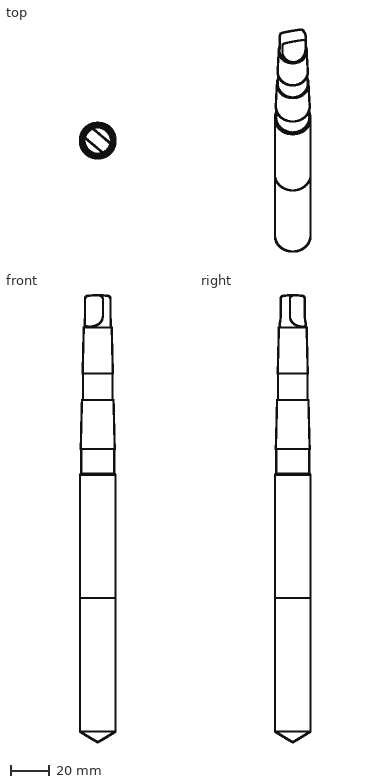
import cadquery as cq
import math

total_length = 233.0
body_diameter = 18.6
cutting_length = 75.3
tip_height = 5.5

taper_small_diameter = 14.7
taper_ratio = 0.05
tang_depth = 17.0
relief_top_depth = 41.0
relief_bottom_depth = 54.8
taper_end_depth = 80.2
neck_end_depth = 94.0
neck_bevel_length = 1.0
relief_diameter = 15.5
neck_diameter = 17.2

tang_diameter = 13.7
tang_thickness = 6.3
tang_crown_height = 0.5
tang_runout_radius = 6.0
tang_round_radius = 1.9
tang_normal_angle = 50.0

joint_z = cutting_length


def taper_radius(depth):
    """Radius of the taper at a depth below the tang end."""
    return (taper_small_diameter + taper_ratio * (depth - tang_depth)) / 2


def make_cutting_part():
    """Cylinder with a conical tip on the origin."""
    radius = body_diameter / 2
    return (
        cq.Workplane("XZ")
        .moveTo(0, 0)
        .lineTo(radius, tip_height)
        .lineTo(radius, joint_z)
        .lineTo(0, joint_z)
        .close()
        .revolve(360, (0, 0, 0), (0, 1, 0))
    )


def make_turned_shank():
    """Revolved shank: body, beveled neck, taper with a relief, and a round tang."""
    rim_depth = tang_crown_height + tang_round_radius
    crown_radius = tang_diameter / 2 - tang_round_radius
    diagonal = tang_round_radius * math.sqrt(0.5)
    steps = [
        (body_diameter / 2, neck_end_depth),
        (neck_diameter / 2, neck_end_depth - neck_bevel_length),
        (neck_diameter / 2, taper_end_depth + neck_bevel_length),
        (taper_radius(taper_end_depth), taper_end_depth),
        (taper_radius(relief_bottom_depth), relief_bottom_depth),
        (relief_diameter / 2, relief_bottom_depth),
        (relief_diameter / 2, relief_top_depth),
        (taper_radius(relief_top_depth), relief_top_depth),
        (taper_radius(tang_depth), tang_depth),
        (tang_diameter / 2, tang_depth),
        (tang_diameter / 2, rim_depth),
    ]
    profile = cq.Workplane("XZ").moveTo(0, joint_z).lineTo(body_diameter / 2, joint_z)
    for radius, depth in steps:
        profile = profile.lineTo(radius, total_length - depth)
    return (
        profile.threePointArc(
            (crown_radius + diagonal, total_length - rim_depth + diagonal),
            (crown_radius, total_length - tang_crown_height),
        )
        .lineTo(0, total_length)
        .close()
        .revolve(360, (0, 0, 0), (0, 1, 0))
    )


def make_flat_cutter():
    """Material beside one tang flat, with a quarter-round run-out at its lower end."""
    flat = tang_thickness / 2
    runout_bottom = total_length - tang_depth
    runout_top = runout_bottom + tang_runout_radius
    runout_edge = flat + tang_runout_radius
    diagonal = tang_runout_radius * math.sqrt(0.5)
    return (
        cq.Workplane("XZ")
        .moveTo(flat, total_length)
        .lineTo(flat, runout_top)
        .threePointArc((runout_edge - diagonal, runout_top - diagonal), (runout_edge, runout_bottom))
        .lineTo(runout_edge, total_length)
        .close()
        .extrude(body_diameter / 2, both=True)
    )


def make_shank():
    shank = make_turned_shank()
    cutter = make_flat_cutter()
    for side_angle in (0, 180):
        shank = shank.cut(cutter.rotate((0, 0, 0), (0, 0, 1), tang_normal_angle + side_angle))
    return shank


cutting_part = make_cutting_part()
shank = make_shank()
result = cq.Compound.makeCompound([cutting_part.val(), shank.val()])